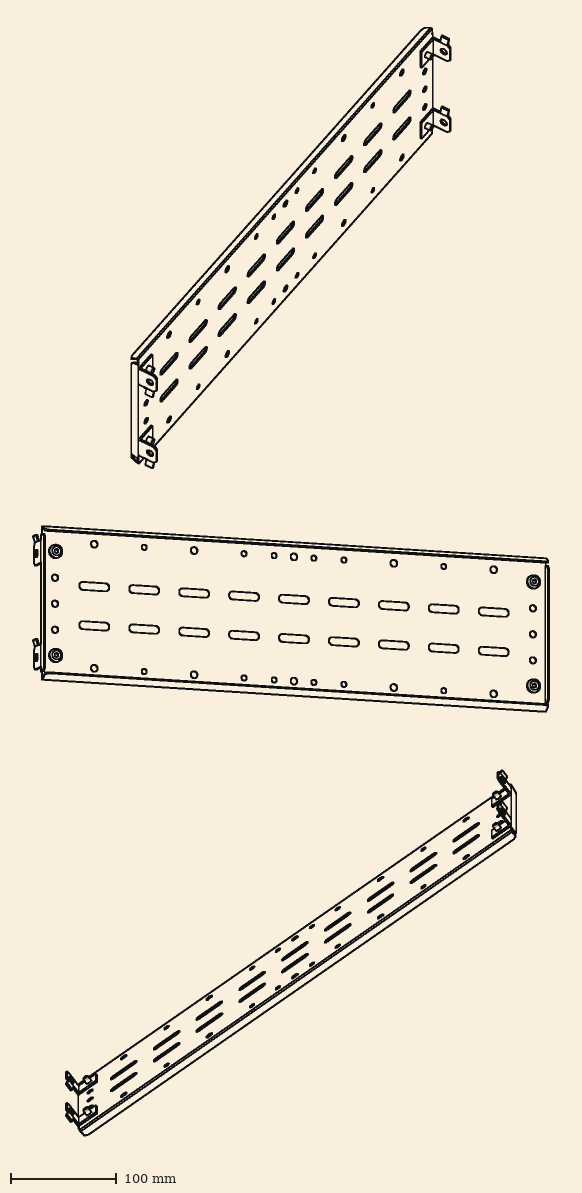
import cadquery as cq
import math


overall_length = 511.5
panel_height = 148.0
sheet = 1.5

flange_offset = 253.5
lip_half_length = 252.5
lip_reach = 10.0
lip_flat_depth = 2.0
lip_drop = 4.5
lip_corner_depth = 1.5
lip_corner_width = 3.5
side_flange_depth = 8.0
side_flange_height = 132.0
side_flange_corner = 3.0

hole_pitch = 50.0
edge_hole_z = 60.0
large_hole_diameter = 6.5
small_hole_diameter = 5.0
large_hole_y = [column * 2 * hole_pitch for column in (-2, -1, 0, 1, 2)]
centre_hole_y = 20.0
small_hole_y = [column * hole_pitch for column in (-3, -1, 1, 3)] + [-centre_hole_y, centre_hole_y]
end_hole_diameter = 6.0
end_hole_pitch = hole_pitch / 2
slot_columns = 9
slot_length = 30.0
slot_width = 7.5
slot_z = 19.0

bracket_z = hole_pitch
bracket_sheet = 1.8
bracket_reach = 20.5
bracket_height = 22.0
bracket_foot_length = 22.0
bracket_corner = 3.0
bracket_hole_x = 13.5
bracket_hole_diameter = 7.0
tab_width = 8.0
tab_length = 6.0
tab_swing = overall_length / 2 - flange_offset

screw_y = 240.0
head_diameter = 13.0
head_height = 4.0
head_bevel_height = 1.5
head_bevel_width = 2.0
socket_width = 3.5
socket_depth = 2.5
shank_diameter = 5.5
shank_chamfer_length = 1.5
shank_chamfer_depth = 0.25
shank_end = 7.5


def cylinders_along_x(points, diameter, start, length):
    """Cylinders along +X from X = start, one at each (y, z) point."""
    return cq.Workplane("YZ", origin=(start, 0, 0)).pushPoints(points).circle(diameter / 2).extrude(length)


def make_lip():
    """Top edge of the panel, folded forward and then sloping down to its tip."""
    top = panel_height / 2
    slope_angle = math.atan2(lip_drop, lip_reach - lip_flat_depth)
    rise = sheet / math.cos(slope_angle)
    tip_bottom = top - lip_drop - sheet * math.cos(slope_angle)
    inner_fold = lip_flat_depth + (sheet - rise) / math.tan(slope_angle)
    lip = (
        cq.Workplane("XZ", origin=(0, lip_half_length, 0))
        .moveTo(0, top)
        .lineTo(-lip_flat_depth, top)
        .lineTo(-lip_reach, top - lip_drop)
        .lineTo(-lip_reach + sheet * math.sin(slope_angle), tip_bottom)
        .lineTo(-inner_fold, top - sheet)
        .lineTo(0, top - sheet)
        .close()
        .extrude(2 * lip_half_length)
    )
    for side in (-1, 1):
        corner = (
            cq.Workplane("XY", origin=(-lip_reach, side * lip_half_length, top - 2 * lip_drop))
            .lineTo(lip_corner_depth, 0)
            .lineTo(0, -side * lip_corner_width)
            .close()
            .extrude(2 * lip_drop)
        )
        lip = lip.cut(corner)
    return lip


def make_side_flange():
    """Flange on the +Y end of the panel, with its two front corners cut off."""
    return (
        cq.Workplane("XY")
        .box(side_flange_depth, sheet, side_flange_height)
        .edges("<X and |Y")
        .chamfer(side_flange_corner)
        .translate((-side_flange_depth / 2, flange_offset - sheet / 2, 0))
    )


def make_panel():
    tall_web = cq.Workplane("XY").box(sheet, 2 * lip_half_length, panel_height)
    long_web = cq.Workplane("XY").box(sheet, 2 * flange_offset, side_flange_height)
    panel = tall_web.union(long_web).translate((-sheet / 2, 0, 0))
    lip = make_lip()
    side_flange = make_side_flange()
    panel = panel.union(lip).union(lip.mirror("XY"))
    panel = panel.union(side_flange).union(side_flange.mirror("XZ"))

    large_points = [(y, side * edge_hole_z) for y in large_hole_y for side in (-1, 1)]
    small_points = [(y, side * edge_hole_z) for y in small_hole_y for side in (-1, 1)]
    end_points = [(side * screw_y, row * end_hole_pitch) for side in (-1, 1) for row in (-1, 0, 1)]
    screw_points = [(y, z) for y in (-screw_y, screw_y) for z in (-bracket_z, bracket_z)]
    for points, diameter in (
        (large_points, large_hole_diameter),
        (small_points, small_hole_diameter),
        (end_points, end_hole_diameter),
        (screw_points, shank_diameter),
    ):
        panel = panel.cut(cylinders_along_x(points, diameter, -sheet, sheet))

    slot_points = [
        ((column - (slot_columns - 1) / 2) * hole_pitch, side * slot_z)
        for column in range(slot_columns)
        for side in (-1, 1)
    ]
    slots = (
        cq.Workplane("YZ", origin=(-sheet, 0, 0))
        .pushPoints(slot_points)
        .slot2D(slot_length, slot_width)
        .extrude(sheet)
    )
    return panel.cut(slots)


def make_tab():
    """Tab on the top edge of the bracket's arm, leaning outward as it rises."""
    outer = flange_offset
    root = bracket_height / 2
    tip = root + tab_length
    return (
        cq.Workplane("YZ", origin=(bracket_hole_x - tab_width / 2, 0, 0))
        .moveTo(outer, root)
        .lineTo(outer + tab_swing, tip)
        .lineTo(outer + tab_swing - bracket_sheet, tip)
        .lineTo(outer - bracket_sheet, root)
        .close()
        .extrude(tab_width)
    )


def make_bracket():
    """Angle bracket for the +Y end, centred on Z = 0, with its foot flat on the panel's back."""
    foot = (
        cq.Workplane("XY")
        .box(bracket_sheet, bracket_foot_length, bracket_height)
        .translate((bracket_sheet / 2, flange_offset - bracket_foot_length / 2, 0))
    )
    arm = (
        cq.Workplane("XY")
        .box(bracket_reach, bracket_sheet, bracket_height)
        .edges(">X and |Y")
        .chamfer(bracket_corner)
        .translate((bracket_reach / 2, flange_offset - bracket_sheet / 2, 0))
    )
    arm_hole = (
        cq.Workplane("XZ", origin=(bracket_hole_x, flange_offset, 0))
        .circle(bracket_hole_diameter / 2)
        .extrude(bracket_sheet)
    )
    bracket = foot.union(arm).union(make_tab()).cut(arm_hole)
    return bracket.cut(cylinders_along_x([(screw_y, 0)], shank_diameter, 0, bracket_sheet))


def make_screw():
    """Socket screw along X, its head on the panel's front face and its axis on Y = Z = 0."""
    head_front = -sheet - head_height
    head = (
        cq.Workplane("YZ", origin=(-sheet, 0, 0))
        .circle(head_diameter / 2)
        .extrude(-head_height)
        .faces("<X")
        .chamfer(head_bevel_height, head_bevel_width)
    )
    shank = (
        cylinders_along_x([(0, 0)], shank_diameter, -sheet, sheet + shank_end)
        .faces(">X")
        .chamfer(shank_chamfer_length, shank_chamfer_depth)
    )
    socket = (
        cq.Workplane("YZ", origin=(head_front, 0, 0))
        .polygon(6, socket_width, circumscribed=True)
        .extrude(socket_depth)
    )
    return head.union(shank).cut(socket)


panel = make_panel()

brackets = []
for turn in (0, 180):
    for z in (-bracket_z, bracket_z):
        bracket = make_bracket().rotate((0, 0, 0), (1, 0, 0), turn)
        brackets.append(bracket.translate((0, 0, z)))

screws = []
for y in (-screw_y, screw_y):
    for z in (-bracket_z, bracket_z):
        screws.append(make_screw().translate((0, y, z)))

result = cq.Compound.makeCompound(
    [panel.val(), *[bracket.val() for bracket in brackets], *[screw.val() for screw in screws]]
)